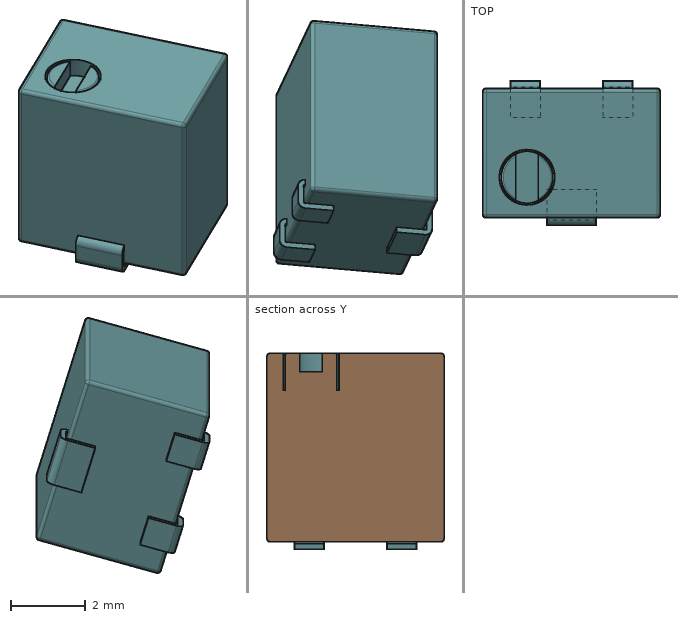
import cadquery as cq

BODY_X = 4.8
BODY_Y = 3.5
BODY_Z = 5.1
EDGE_RADIUS = 0.1

SCREW_FROM_SIDE = 1.2
SCREW_FROM_FRONT = 1.1
SCREW_X = SCREW_FROM_SIDE - BODY_X / 2
SCREW_Y = SCREW_FROM_FRONT - BODY_Y / 2
WELL_DIAMETER = 1.5
WELL_DEPTH = 1.0
SCREW_DIAMETER = 1.4
SCREW_RIM_RADIUS = 0.05
SLOT_WIDTH = 0.6
SLOT_DEPTH = 0.5

STRIP_THICKNESS = 0.15
BEND_RADIUS = 0.2
TERMINAL_REACH = 0.2
TERMINAL_DROP = 0.2
TERMINAL_HEIGHT = 0.85
FOOT_LENGTH = 0.98
ROOT_EMBED = 0.1
FRONT_WIDTH = 1.33
REAR_WIDTH = 0.8
REAR_PITCH = 2.5


def make_housing():
    """Block with every edge rounded."""
    block = cq.Workplane("XY").box(BODY_X, BODY_Y, BODY_Z, centered=(True, True, False))
    return block.edges().fillet(EDGE_RADIUS)


def disc(diameter, bottom, top):
    """Upright cylinder on the screw axis."""
    return (
        cq.Workplane("XY", origin=(SCREW_X, SCREW_Y, bottom))
        .circle(diameter / 2)
        .extrude(top - bottom)
    )


def make_screw():
    """Round screw with a rounded rim and a driver slot along Y, standing on the well floor."""
    screw = disc(SCREW_DIAMETER, BODY_Z - WELL_DEPTH, BODY_Z)
    screw = screw.faces(">Z").edges().fillet(SCREW_RIM_RADIUS)
    slot = cq.Workplane("XY", origin=(SCREW_X, SCREW_Y, BODY_Z - SLOT_DEPTH)).box(
        SLOT_WIDTH, SCREW_DIAMETER, SLOT_DEPTH, centered=(True, True, False)
    )
    return screw.cut(slot)


def make_terminal(width, center_x):
    """Terminal on the -Y wall: a short root, an upright, and a foot turned inward."""
    outer_y = -BODY_Y / 2 - TERMINAL_REACH
    inner_y = outer_y + STRIP_THICKNESS
    bottom = -TERMINAL_DROP
    top = bottom + TERMINAL_HEIGHT
    root_y = -BODY_Y / 2 + ROOT_EMBED
    foot_y = outer_y + FOOT_LENGTH
    bend_y = outer_y + BEND_RADIUS
    inner_radius = BEND_RADIUS - STRIP_THICKNESS
    profile = (
        cq.Workplane("YZ", origin=(center_x - width / 2, 0, 0))
        .moveTo(root_y, top)
        .lineTo(bend_y, top)
        .radiusArc((outer_y, top - BEND_RADIUS), -BEND_RADIUS)
        .lineTo(outer_y, bottom + BEND_RADIUS)
        .radiusArc((bend_y, bottom), -BEND_RADIUS)
        .lineTo(foot_y, bottom)
        .lineTo(foot_y, bottom + STRIP_THICKNESS)
        .lineTo(bend_y, bottom + STRIP_THICKNESS)
        .radiusArc((inner_y, bottom + BEND_RADIUS), inner_radius)
        .lineTo(inner_y, top - BEND_RADIUS)
        .radiusArc((bend_y, top - STRIP_THICKNESS), inner_radius)
        .lineTo(root_y, top - STRIP_THICKNESS)
        .close()
    )
    return profile.extrude(width)


well = disc(WELL_DIAMETER, BODY_Z - WELL_DEPTH, BODY_Z)
result = make_housing().cut(well).union(make_screw())
result = result.union(make_terminal(FRONT_WIDTH, 0))
for side in (-1, 1):
    rear_terminal = make_terminal(REAR_WIDTH, side * REAR_PITCH / 2).mirror("XZ")
    result = result.union(rear_terminal)